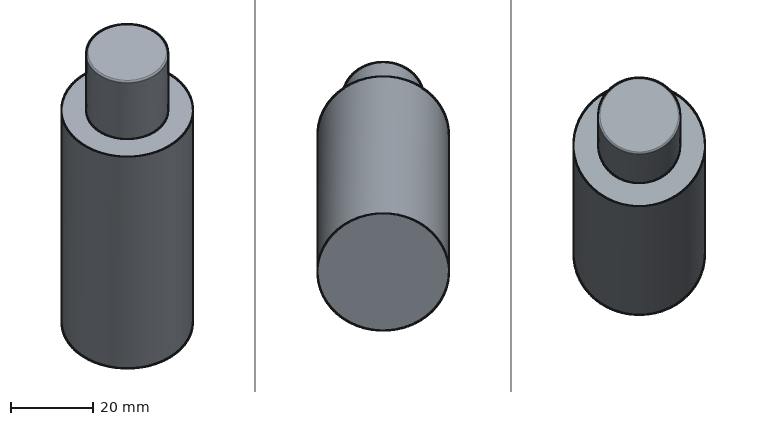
import cadquery as cq

total_height = 93.0
body_diameter = 32.0
pin_diameter = 20.0
pin_length = 19.8
pin_edge_radius = 0.5

body_height = total_height - pin_length

body = cq.Workplane("XY").circle(body_diameter / 2).extrude(body_height)

pin = (
    cq.Workplane("XY", origin=(0, 0, body_height))
    .circle(pin_diameter / 2)
    .extrude(pin_length)
    .faces(">Z")
    .edges()
    .fillet(pin_edge_radius)
)

result = body.union(pin)